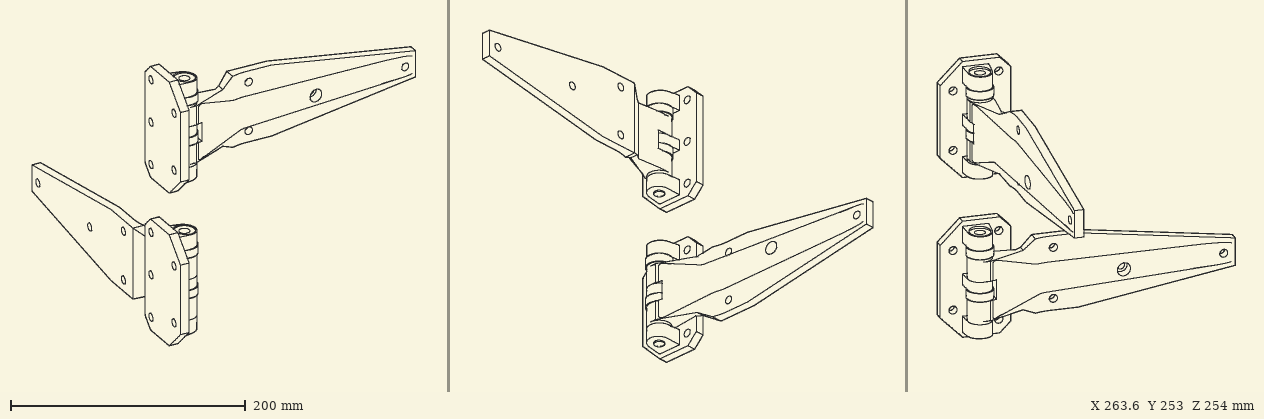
import cadquery as cq
import math


HINGE_SPACING = 147.0
OPENING_ANGLES = (0, -90)

MOUNT_FACE_Y = -21.0
THICKNESS = 8.5
BACK_Y = MOUNT_FACE_Y + THICKNESS
SCREW_HOLE_D = 7.0

KNUCKLE_R = 10.8
PIN_R = 4.7
WASHER_R = 11.9
WASHER_T = 8.0
OUTER_KNUCKLE_Z = 34.0
MID_KNUCKLE_HALF = 5.0
KNUCKLE_END_Z = 47.0
KNUCKLE_DRAFT = 4.5
PIN_SEAT_R = 9.5
PIN_TOP_Z = 46.6
PIN_BOTTOM_Z = -48.7

PLATE_W = 63.2
PLATE_H = 107.0
STRAP_SIDE_CHAMFER = 10.0
FREE_SIDE_CHAMFER = 20.0
STRAP_SIDE_HOLE_X = -20.8
STRAP_SIDE_HOLE_Z = 40.8
FREE_SIDE_HOLE_X = 20.0
FREE_SIDE_HOLE_Z = 27.5

STRAP_CENTER_Z = -WASHER_T / 2
TUBE_HALF = OUTER_KNUCKLE_Z - WASHER_T / 2
SLOT_HALF = MID_KNUCKLE_HALF + WASHER_T / 2
SLOT_END = 12.0
TIP = 232.0
TIP_HALF_W = 12.6
TAPER_END = 91.7
STRAP_HALF_W = 34.3
NECK_START = 52.7
NECK_END = 40.0
NECK_HALF_W = 27.5
WEB_CORNER = (34.5, -8.5)
WEB_FLAT_END = 10.5
WEB_BACK_START = 57.5
WEB_BACK_SLOPE = 0.456
WEB_BACK_R = 42.2
RIDGE_START = 229.2
RIDGE_ROOT_Y = 10.5
RIDGE_HALF_W = 10.5
RIDGE_BEND = 53.8
RIDGE_BEND_R = 18.5
RIDGE_EDGE_R = 2.6
MID_HOLE = 129.5
TIP_HOLE = 221.3
PAIR_HOLE = 69.5
PAIR_HOLE_Z = 23.5
COUNTERBORE_D = 11.9


def z_prism(profile, z_low, z_high):
    """Extrude a sketch on the XY plane between two heights."""
    return profile.extrude(z_high - z_low).translate((0, 0, z_low))


def cylinder(radius, z_low, z_high):
    return z_prism(cq.Workplane("XY").circle(radius), z_low, z_high)


def y_prism(points, y_low, y_high):
    """Extrude an outline given in X and Z along Y between two positions."""
    outline = cq.Workplane("XZ").polyline(points).close()
    return outline.extrude(y_low - y_high).translate((0, y_low, 0))


def y_holes(centers, diameter, y_low, y_high):
    """Round cutters along Y at the given X, Z centers."""
    circles = cq.Workplane("XZ").pushPoints(centers).circle(diameter / 2)
    return circles.extrude(y_low - y_high).translate((0, y_low, 0))


def plate_knuckle(z_low, z_high):
    """Round knuckle on a foot that widens towards the plate."""
    foot_half = KNUCKLE_R - BACK_Y * math.tan(math.radians(KNUCKLE_DRAFT))
    profile = (
        cq.Workplane("XY")
        .moveTo(-foot_half, BACK_Y)
        .lineTo(-KNUCKLE_R, 0)
        .threePointArc((0, KNUCKLE_R), (KNUCKLE_R, 0))
        .lineTo(foot_half, BACK_Y)
        .close()
    )
    return z_prism(profile, z_low, z_high)


def make_plate():
    right = PLATE_W / 2
    top = PLATE_H / 2
    plate = y_prism(
        [
            (-right, STRAP_SIDE_CHAMFER - top),
            (STRAP_SIDE_CHAMFER - right, -top),
            (right - FREE_SIDE_CHAMFER, -top),
            (right, FREE_SIDE_CHAMFER - top),
            (right, top - FREE_SIDE_CHAMFER),
            (right - FREE_SIDE_CHAMFER, top),
            (STRAP_SIDE_CHAMFER - right, top),
            (-right, top - STRAP_SIDE_CHAMFER),
        ],
        MOUNT_FACE_Y,
        BACK_Y,
    )
    hole_centers = [(STRAP_SIDE_HOLE_X, z) for z in (-STRAP_SIDE_HOLE_Z, 0, STRAP_SIDE_HOLE_Z)]
    hole_centers += [(FREE_SIDE_HOLE_X, z) for z in (-FREE_SIDE_HOLE_Z, FREE_SIDE_HOLE_Z)]
    plate = plate.cut(y_holes(hole_centers, SCREW_HOLE_D, MOUNT_FACE_Y, BACK_Y))

    foot_z = KNUCKLE_END_Z + (KNUCKLE_R - BACK_Y) * math.tan(math.radians(KNUCKLE_DRAFT))
    draft_envelope = (
        cq.Workplane("YZ")
        .polyline(
            [
                (BACK_Y, -foot_z),
                (KNUCKLE_R, -KNUCKLE_END_Z),
                (KNUCKLE_R, KNUCKLE_END_Z),
                (BACK_Y, foot_z),
            ]
        )
        .close()
        .extrude(PLATE_W / 2, both=True)
    )
    knuckle_spans = [
        (-foot_z, -OUTER_KNUCKLE_Z),
        (-MID_KNUCKLE_HALF, MID_KNUCKLE_HALF),
        (OUTER_KNUCKLE_Z, foot_z),
    ]
    for z_low, z_high in knuckle_spans:
        plate = plate.union(plate_knuckle(z_low, z_high).intersect(draft_envelope))

    plate = plate.cut(cylinder(PIN_R, -foot_z, foot_z))
    return plate.cut(cylinder(PIN_SEAT_R, PIN_TOP_Z, foot_z))


def strap_web():
    """Flat part, bent web and neck: a side profile trimmed to the strap outline."""
    web_back_end = WEB_BACK_START - (KNUCKLE_R - BACK_Y) / WEB_BACK_SLOPE
    side_profile = cq.Workplane("XY").polyline(
        [
            (-TIP, MOUNT_FACE_Y),
            (-NECK_START, MOUNT_FACE_Y),
            (-WEB_CORNER[0], WEB_CORNER[1]),
            (-WEB_FLAT_END, -KNUCKLE_R),
            (0, -KNUCKLE_R),
            (0, KNUCKLE_R),
            (-web_back_end, KNUCKLE_R),
            (-WEB_BACK_START, BACK_Y),
            (-TIP, BACK_Y),
        ]
    )
    half_outline = [
        (-TIP, TIP_HALF_W),
        (-TAPER_END, STRAP_HALF_W),
        (-NECK_START, STRAP_HALF_W),
        (-NECK_END, NECK_HALF_W),
        (0, NECK_HALF_W),
    ]
    outline = half_outline + [(x, -z) for x, z in reversed(half_outline)]
    bent_bar = z_prism(side_profile.close(), -STRAP_HALF_W, STRAP_HALF_W)
    back_bend = cq.selectors.NearestToPointSelector((-WEB_BACK_START, BACK_Y, 0))
    bent_bar = bent_bar.edges("|Z").edges(back_bend).fillet(WEB_BACK_R)
    return bent_bar.intersect(y_prism(outline, MOUNT_FACE_Y, KNUCKLE_R))


def strap_ridge():
    """Ridge on the back of the strap, rising from the tip and flaring out to the knuckles."""
    half_outline = [
        (-TIP, RIDGE_HALF_W),
        (-RIDGE_BEND, RIDGE_HALF_W),
        (-WEB_FLAT_END, NECK_HALF_W),
        (0, NECK_HALF_W),
    ]
    outline = half_outline + [(x, -z) for x, z in reversed(half_outline)]
    ridge = y_prism(outline, MOUNT_FACE_Y, KNUCKLE_R)
    for side in (-1, 1):
        bend = cq.selectors.NearestToPointSelector((-RIDGE_BEND, 0, side * RIDGE_HALF_W))
        ridge = ridge.edges("|Y").edges(bend).fillet(RIDGE_BEND_R)

    top_slope = (RIDGE_ROOT_Y - BACK_Y) / RIDGE_START
    side_profile = cq.Workplane("XY").polyline(
        [
            (-TIP, MOUNT_FACE_Y),
            (-NECK_START, MOUNT_FACE_Y),
            (-WEB_CORNER[0], WEB_CORNER[1]),
            (0, 0),
            (0, RIDGE_ROOT_Y),
            (-TIP, RIDGE_ROOT_Y - TIP * top_slope),
        ]
    )
    ridge = ridge.intersect(z_prism(side_profile.close(), -NECK_HALF_W, NECK_HALF_W))
    top_center = (-TIP / 2, RIDGE_ROOT_Y - TIP / 2 * top_slope, 0)
    top_face = ridge.faces(cq.selectors.NearestToPointSelector(top_center))
    return top_face.edges("not |Z").fillet(RIDGE_EDGE_R)


def make_strap():
    strap = strap_web().union(strap_ridge())
    strap = strap.union(cylinder(KNUCKLE_R, -TUBE_HALF, TUBE_HALF))

    slot = cq.Workplane("XY").box(SLOT_END + KNUCKLE_R, 2 * KNUCKLE_R, 2 * SLOT_HALF)
    strap = strap.cut(slot.translate(((KNUCKLE_R - SLOT_END) / 2, 0, 0)))
    strap = strap.cut(cylinder(PIN_R, -TUBE_HALF, TUBE_HALF))

    hole_centers = [(-TIP_HOLE, 0), (-MID_HOLE, 0), (-PAIR_HOLE, PAIR_HOLE_Z), (-PAIR_HOLE, -PAIR_HOLE_Z)]
    strap = strap.cut(y_holes(hole_centers, SCREW_HOLE_D, MOUNT_FACE_Y, KNUCKLE_R))
    strap = strap.cut(y_holes([(-MID_HOLE, 0)], COUNTERBORE_D, BACK_Y, KNUCKLE_R))
    return strap.translate((0, 0, STRAP_CENTER_Z))


def make_pin():
    return cylinder(PIN_R, PIN_BOTTOM_Z, PIN_TOP_Z)


def make_washer(z_low):
    return cylinder(WASHER_R, z_low, z_low + WASHER_T).cut(cylinder(PIN_R, z_low, z_low + WASHER_T))


bodies = []
for hinge_number, angle in enumerate(OPENING_ANGLES):
    plate = make_plate()
    strap = make_strap().rotate((0, 0, 0), (0, 0, 1), angle)
    pin = make_pin()
    middle_washer = make_washer(-MID_KNUCKLE_HALF - WASHER_T)
    top_washer = make_washer(OUTER_KNUCKLE_Z - WASHER_T)
    for body in (plate, strap, pin, middle_washer, top_washer):
        bodies.append(body.translate((0, 0, hinge_number * HINGE_SPACING)).val())

result = cq.Compound.makeCompound(bodies)